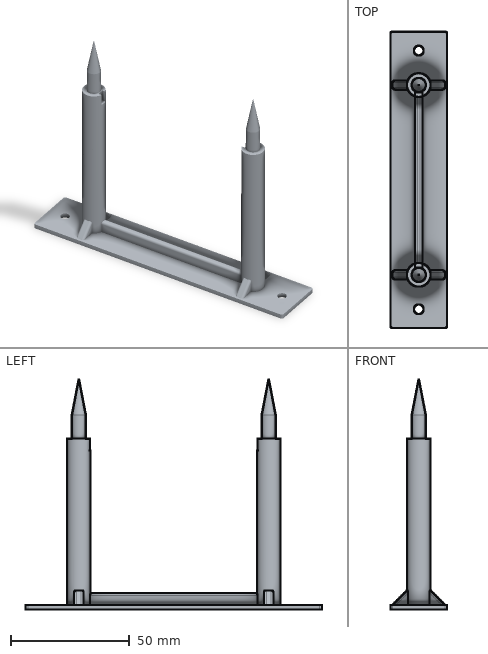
import cadquery as cq

plate_width = 24.0
plate_length = 125.0
plate_thickness = 2.0
corner_radius = 1.0
mount_hole_diameter = 4.0
mount_hole_offset = 54.5

post_offset = 40.0
post_diameter = 10.0
post_height = 70.0
pin_diameter = 6.0
pin_height = 10.0
tip_height = 15.0
tip_diameter = 0.2

notch_width = 3.0
notch_height = 5.0
notch_depth = 1.8

rail_width = 3.0
rail_height = 5.0
rail_fillet = 1.0

gusset_width = 4.0
gusset_reach = 11.0
gusset_fillet = 1.0

post_radius = post_diameter / 2
pin_radius = pin_diameter / 2
post_top = plate_thickness + post_height


def make_plate():
    """Flat plate standing on Z = 0, with one mounting hole near each end."""
    plate = cq.Workplane("XY").box(
        plate_width, plate_length, plate_thickness, centered=(True, True, False)
    )
    return (
        plate.edges("|Z")
        .fillet(corner_radius)
        .faces(">Z")
        .workplane()
        .pushPoints([(0, -mount_hole_offset), (0, mount_hole_offset)])
        .hole(mount_hole_diameter)
    )


def make_post():
    """Stepped round post on the Z axis, ending in a cone with a tiny flat tip."""
    pin_top = post_top + pin_height
    return (
        cq.Workplane("XZ")
        .moveTo(0, 0)
        .lineTo(post_radius, 0)
        .lineTo(post_radius, post_top)
        .lineTo(pin_radius, post_top)
        .lineTo(pin_radius, pin_top)
        .lineTo(tip_diameter / 2, pin_top + tip_height)
        .lineTo(0, pin_top + tip_height)
        .close()
        .revolve(360, (0, 0), (0, 1))
    )


def make_notch():
    """Cutter for the post notch, entering from the -Y side and open at the top."""
    cutter = cq.Workplane("XY").box(
        notch_width, 2 * notch_depth, notch_height, centered=(True, True, False)
    )
    return cutter.translate((0, -post_radius, post_top - notch_height))


def make_gussets():
    """Pair of triangular gussets along X, with rounded sloping edges."""
    buried_end = post_radius / 2
    gusset = (
        cq.Workplane("XZ")
        .moveTo(0, 0)
        .lineTo(gusset_reach, 0)
        .lineTo(buried_end, gusset_reach - buried_end)
        .lineTo(0, gusset_reach - buried_end)
        .close()
        .extrude(gusset_width / 2, both=True)
    )
    sloping_face = gusset.faces("not (|X or |Y or |Z)")
    gusset = sloping_face.edges("not |Y").fillet(gusset_fillet)
    gusset = gusset.translate((0, 0, plate_thickness))
    return gusset.union(gusset.mirror("YZ"))


def make_rail():
    """Low rail between the post centres, with rounded top edges."""
    rail = cq.Workplane("XY").box(
        rail_width, 2 * post_offset, rail_height, centered=(True, True, False)
    )
    rail = rail.faces(">Z").edges("|Y").fillet(rail_fillet)
    return rail.translate((0, 0, plate_thickness))


post = make_post().cut(make_notch()).union(make_gussets()).translate((0, post_offset, 0))
result = make_plate().union(make_rail()).union(post).union(post.mirror("XZ"))